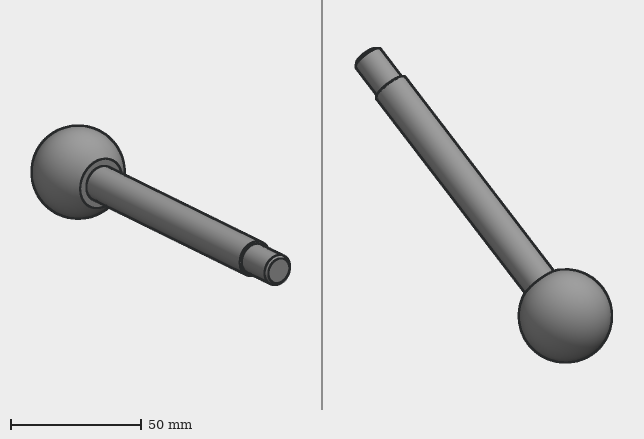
import cadquery as cq
import math

total_length = 149.0
ball_diameter = 35.9
ball_length = 33.0
shaft_diameter = 14.0
pin_diameter = 12.0
pin_length = 16.0
pin_chamfer = 1.0

ball_radius = ball_diameter / 2
shaft_radius = shaft_diameter / 2
pin_radius = pin_diameter / 2
shaft_end = total_length - pin_length
flat_radius = math.sqrt(ball_radius**2 - (ball_length - ball_radius) ** 2)

half_profile = (
    cq.Workplane("XY")
    .moveTo(0, 0)
    .threePointArc((ball_radius, ball_radius), (ball_length, flat_radius))
    .lineTo(ball_length, shaft_radius)
    .lineTo(shaft_end, shaft_radius)
    .lineTo(shaft_end, pin_radius)
    .lineTo(total_length, pin_radius)
    .lineTo(total_length, 0)
    .close()
)

turned_body = half_profile.revolve(360, (0, 0, 0), (1, 0, 0))

result = turned_body.faces(">X").chamfer(pin_chamfer)